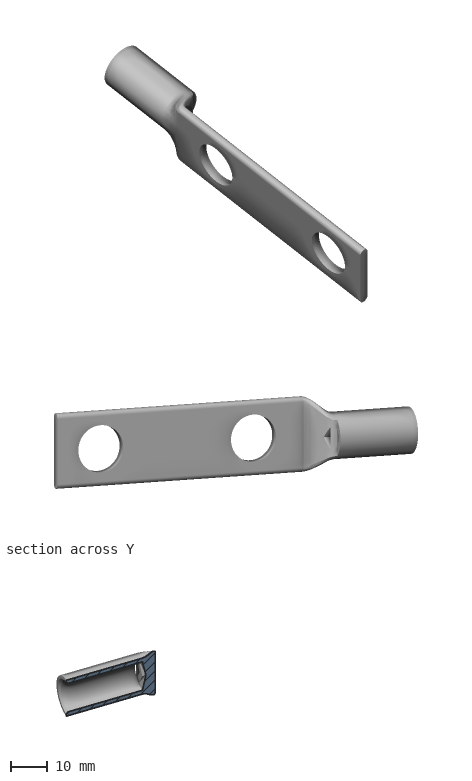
import cadquery as cq
import math

total_length = 101.1
palm_width = 20.8
palm_thickness = 2.6
palm_edge_radius = palm_thickness / 2

barrel_diameter = 12.9
barrel_radius = barrel_diameter / 2
barrel_length = 22.6
wall_thickness = 1.5
bore_radius = barrel_radius - wall_thickness
mouth_chamfer = 0.6

transition_length = 6.8
palm_start = barrel_length + transition_length
section_count = 7

hole_diameter = 13.0
hole_spacing = 44.5
first_hole_x = 44.0

side_start_y = 4.0
flat_top_y = 10.6
top_lag = 1.4

v_slope = math.radians(30)
window_top_y = 10.0
window_apex_y = barrel_radius + wall_thickness / math.cos(v_slope)

bore_tip_length = 1.0


def half_chord(radius, y):
    """Half width of a barrel-centred circle at height y."""
    return math.sqrt(radius**2 - (y - barrel_radius) ** 2)


def blend(start, end, share):
    """Value part of the way from start to end."""
    return start + (end - start) * share


def ease(fraction):
    """Rise from 0 to 1 that is level at both ends."""
    return fraction**2 * (3 - 2 * fraction)


def outer_section(fraction):
    """Closed outline: a flat-topped circle at fraction 0, the palm's round-edged strip at 1."""
    x = barrel_length + transition_length * fraction
    spread = ease(fraction)
    drop = spread**top_lag
    strip_flat_z = palm_width / 2 - palm_edge_radius

    low_y = blend(side_start_y, 0, spread)
    low_z = blend(half_chord(barrel_radius, side_start_y), strip_flat_z, spread)
    side_y = blend(barrel_radius, palm_edge_radius, spread)
    side_z = blend(barrel_radius, palm_width / 2, spread)
    top_y = blend(flat_top_y, palm_thickness, drop)
    top_z = blend(half_chord(barrel_radius, flat_top_y), strip_flat_z, drop)

    low_left = cq.Vector(x, low_y, -low_z)
    low_right = cq.Vector(x, low_y, low_z)
    top_left = cq.Vector(x, top_y, -top_z)
    top_right = cq.Vector(x, top_y, top_z)
    if fraction < 1:
        back = cq.Edge.makeThreePointArc(low_left, cq.Vector(x, 0, 0), low_right)
    else:
        back = cq.Edge.makeLine(low_left, low_right)
    return cq.Wire.assembleEdges([
        back,
        cq.Edge.makeThreePointArc(low_right, cq.Vector(x, side_y, side_z), top_right),
        cq.Edge.makeLine(top_right, top_left),
        cq.Edge.makeThreePointArc(top_left, cq.Vector(x, side_y, -side_z), low_left),
    ])


def v_prism(apex_y, top_y, length):
    """Triangular prism along X from the barrel's end, opening from its apex towards +Y."""
    half_width = (top_y - apex_y) / math.tan(v_slope)
    return (
        cq.Workplane("YZ", origin=(barrel_length, 0, 0))
        .moveTo(apex_y, 0)
        .lineTo(top_y, half_width)
        .lineTo(top_y, -half_width)
        .close()
        .extrude(length)
    )


def make_barrel():
    tube = cq.Workplane("YZ").center(barrel_radius, 0).circle(barrel_radius).circle(bore_radius)
    mouth = cq.Solid.makeCone(
        bore_radius + mouth_chamfer, bore_radius, mouth_chamfer,
        cq.Vector(0, barrel_radius, 0), cq.Vector(1, 0, 0),
    )
    return tube.extrude(barrel_length).cut(cq.Workplane(mouth))


def make_transition():
    wires = [outer_section(i / (section_count - 1)) for i in range(section_count)]
    body = cq.Workplane(cq.Solid.makeLoft(wires))

    tip = cq.Solid.makeCone(
        bore_radius, 0, bore_tip_length,
        cq.Vector(barrel_length, barrel_radius, 0), cq.Vector(1, 0, 0),
    )
    tip_below_wall = cq.Workplane(tip).cut(v_prism(barrel_radius, barrel_diameter, bore_tip_length))
    window = v_prism(window_apex_y, window_top_y, transition_length)
    return body.cut(tip_below_wall).cut(window)


def make_palm():
    palm_length = total_length - palm_start
    strip = (
        cq.Workplane("YZ", origin=(palm_start, palm_thickness / 2, 0))
        .slot2D(palm_width, palm_thickness, 90)
        .extrude(palm_length)
    )
    holes = (
        cq.Workplane("XZ")
        .pushPoints([(first_hole_x, 0), (first_hole_x + hole_spacing, 0)])
        .circle(hole_diameter / 2)
        .extrude(-palm_thickness)
    )
    return strip.cut(holes)


result = make_barrel().union(make_transition()).union(make_palm())